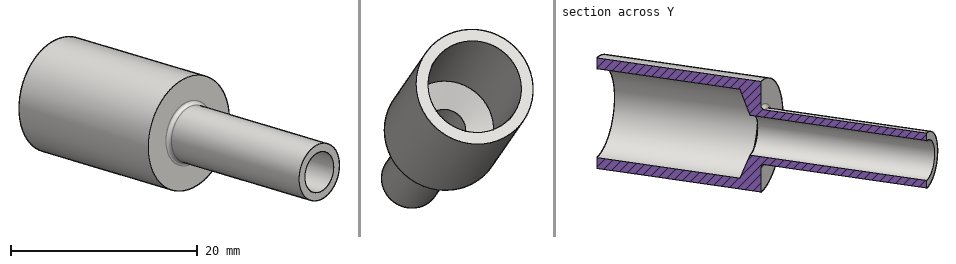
import cadquery as cq
import math

total_length = 38.1
socket_length = 18.97

socket_diameter = 12.75
stem_diameter = 6.35
socket_bore_diameter = 10.17
stem_bore_diameter = 4.55

cone_point_angle = 135.0
floor_thickness = 1.3
shoulder_fillet = 0.42

socket_radius = socket_diameter / 2
stem_radius = stem_diameter / 2
bore_radius = socket_bore_diameter / 2
passage_radius = stem_bore_diameter / 2

cone_length = (bore_radius - passage_radius) / math.tan(math.radians(cone_point_angle / 2))
cone_end = socket_length - floor_thickness
cone_start = cone_end - cone_length


def half_section():
    """Wall profile in the XY plane, with Y as the radius from the X axis."""
    fillet_center = (socket_length + shoulder_fillet, stem_radius + shoulder_fillet)
    fillet_reach = shoulder_fillet * math.sqrt(0.5)
    fillet_middle = (fillet_center[0] - fillet_reach, fillet_center[1] - fillet_reach)
    return (
        cq.Workplane("XY")
        .moveTo(0, bore_radius)
        .lineTo(0, socket_radius)
        .lineTo(socket_length, socket_radius)
        .lineTo(socket_length, fillet_center[1])
        .threePointArc(fillet_middle, (fillet_center[0], stem_radius))
        .lineTo(total_length, stem_radius)
        .lineTo(total_length, passage_radius)
        .lineTo(cone_end, passage_radius)
        .lineTo(cone_start, bore_radius)
        .close()
    )


result = half_section().revolve(360, (0, 0, 0), (1, 0, 0))